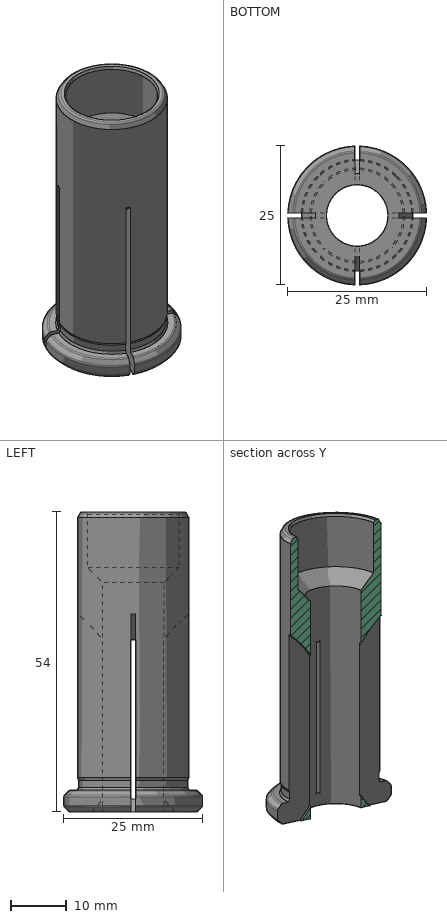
import cadquery as cq
import math

height = 54.0
body_radius = 20.05 / 2
flange_radius = 25.0 / 2

flange_height = 3.95
flange_chamfer = 1.0
edge_fillet = 0.5
groove_radius = 9.85
groove_top = 6.2
groove_taper = 0.5
groove_root = 0.25

rim_chamfer_height = 1.0
lead_in_angle = math.radians(30)
rim_radius = body_radius - rim_chamfer_height * math.tan(lead_in_angle)

bore_radius = 16.5 / 2
bore_bottom = 44.0
throat_radius = 11.0 / 2
cone_height = bore_radius - throat_radius
mouth_chamfer_height = 0.5
mouth_radius = bore_radius + mouth_chamfer_height * math.tan(lead_in_angle)

slit_count = 4
slit_width = 0.85
slit_top = 35.65
slit_throat_top = 31.0
slit_throat_bottom = 2.4


def make_sleeve():
    """Flanged tube revolved from its half section, with rounded chamfer edges."""
    flange_rim_radius = flange_radius - flange_chamfer
    section = [
        (throat_radius, 0),
        (flange_rim_radius, 0),
        (flange_radius, flange_chamfer),
        (flange_radius, flange_height - flange_chamfer),
        (flange_rim_radius, flange_height),
        (groove_radius + groove_root, flange_height),
        (groove_radius, flange_height + groove_taper),
        (groove_radius, groove_top - groove_taper),
        (body_radius, groove_top),
        (body_radius, height - rim_chamfer_height),
        (rim_radius, height),
        (mouth_radius, height),
        (bore_radius, height - mouth_chamfer_height),
        (bore_radius, bore_bottom),
        (throat_radius, bore_bottom - cone_height),
    ]
    sleeve = cq.Workplane("XZ").polyline(section).close().revolve(360, (0, 0), (0, 1))
    rounded_radii = (flange_rim_radius, flange_radius, rim_radius)

    def is_rounded(edge):
        if edge.geomType() != "CIRCLE":
            return False
        return any(math.isclose(edge.radius(), radius) for radius in rounded_radii)

    return sleeve.edges().filter(is_rounded).fillet(edge_fillet)


def make_cutter():
    """Disc in the XZ plane, outside the +X wall, that leaves one curved slit."""
    center_z = (slit_throat_top + slit_throat_bottom) / 2
    throat_half = slit_throat_top - center_z
    outer_half = slit_top - center_z
    wall = body_radius - throat_radius
    offset = (outer_half**2 - throat_half**2 - wall**2) / (2 * wall)
    disc_radius = math.hypot(offset, outer_half)
    return (
        cq.Workplane("XZ")
        .center(body_radius + offset, center_z)
        .circle(disc_radius)
        .extrude(slit_width / 2, both=True)
    )


result = make_sleeve()
cutter = make_cutter()
for index in range(slit_count):
    angle = index * 360 / slit_count
    result = result.cut(cutter.rotate((0, 0, 0), (0, 0, 1), angle))